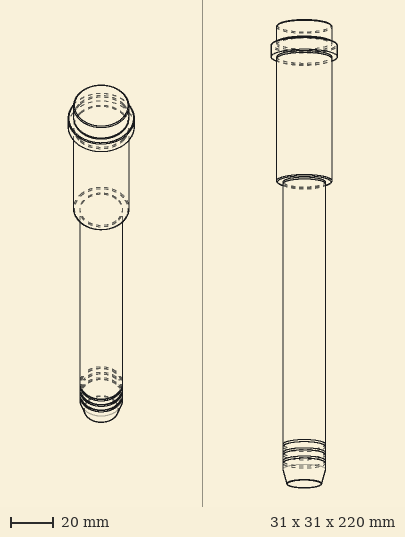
import cadquery as cq
import math

collar_radius = 15.5
head_radius = 13.0
shaft_radius = 10.0
tip_radius = 8.1

total_length = 220.0
head_length = 75.0
spigot_length = 9.0
collar_height = 6.0
tip_length = 7.0

head_bottom = total_length - head_length
collar_top = total_length - spigot_length
collar_bottom = collar_top - collar_height

collar_chamfer = 0.5
head_chamfer = 0.5
tip_chamfer = 0.2

groove_radius = 0.5
groove_count = 3
groove_pitch = 4.0
first_groove_height = 10.5

relief_depth = 0.1
relief_root_width = 0.6
relief_exit_radius = 0.7


def cylinder(radius, bottom, top):
    return cq.Workplane("XY").workplane(offset=bottom).circle(radius).extrude(top - bottom)


def ring_groove(surface_radius, height):
    """Torus that cuts a half-round groove into a cylinder of the given radius."""
    return cq.Workplane(cq.Solid.makeTorus(surface_radius, groove_radius, cq.Vector(0, 0, height)))


def shoulder_relief(surface_radius, shoulder, direction):
    """Ring that cuts a relief beside a shoulder; direction is +1 above it and -1 below it."""
    root_radius = surface_radius - relief_depth
    root_end = shoulder + direction * relief_root_width
    arc_center_radius = root_radius + relief_exit_radius

    def arc_point(radius):
        rise = math.sqrt(relief_exit_radius**2 - (arc_center_radius - radius) ** 2)
        return radius, root_end + direction * rise

    return (
        cq.Workplane("XZ")
        .moveTo(surface_radius, shoulder)
        .lineTo(root_radius, shoulder)
        .lineTo(root_radius, root_end)
        .threePointArc(arc_point(root_radius + relief_depth / 2), arc_point(surface_radius))
        .close()
        .revolve(360, (0, 0, 0), (0, 1, 0))
    )


def make_tip():
    """Lead-in cone below the shaft, with a broken edge around its end."""
    return (
        cq.Workplane("XZ")
        .lineTo(tip_radius - tip_chamfer, 0)
        .lineTo(tip_radius, tip_chamfer)
        .lineTo(shaft_radius, tip_length)
        .lineTo(0, tip_length)
        .close()
        .revolve(360, (0, 0, 0), (0, 1, 0))
    )


def make_shaft():
    """Long shaft with oil grooves near the tip and a relief under the head."""
    shaft = cylinder(shaft_radius, tip_length, head_bottom)
    for index in range(groove_count):
        shaft = shaft.cut(ring_groove(shaft_radius, first_groove_height + index * groove_pitch))
    return shaft.cut(shoulder_relief(shaft_radius, head_bottom, -1))


def make_head():
    """Thick upper length with a relief on each side of the collar."""
    head = cylinder(head_radius, head_bottom, total_length).edges().chamfer(head_chamfer)
    head = head.cut(shoulder_relief(head_radius, collar_bottom, -1))
    return head.cut(shoulder_relief(head_radius, collar_top, 1))


def make_collar():
    collar = cylinder(collar_radius, collar_bottom, collar_top)
    return collar.faces(">Z").edges().chamfer(collar_chamfer)


result = make_tip().union(make_shaft()).union(make_head()).union(make_collar())